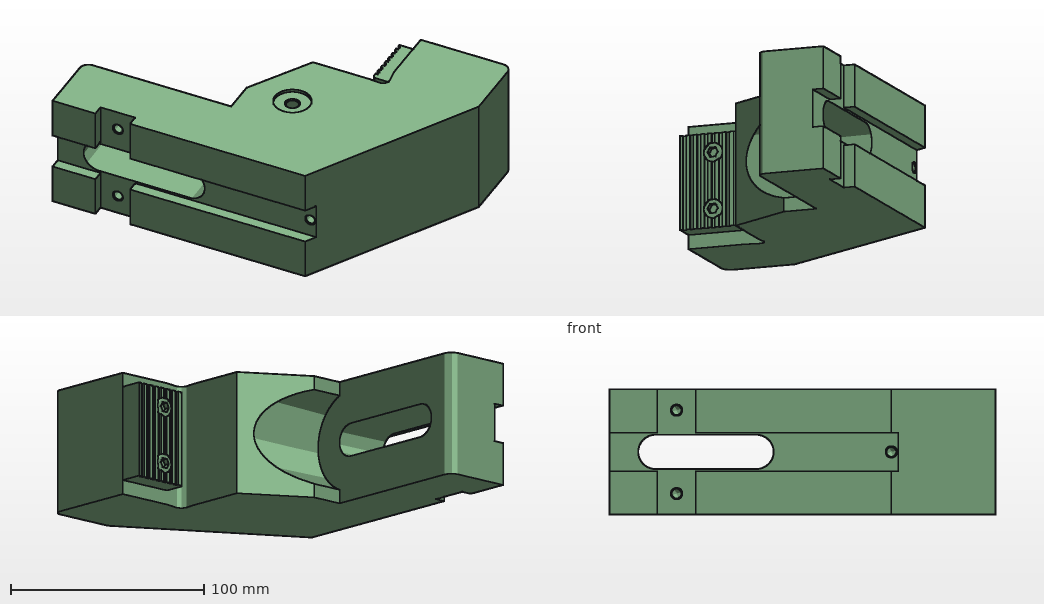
import cadquery as cq
import math

length = 200.0
height = 132.0
thickness = 65.0
mid_z = thickness / 2

base_length = 146.0
back_angle = 60.0
arm_height = 36.8
step_x = 85.0
step_top_y = 54.8
shoulder_y = 89.8
shoulder_x = 106.0
back_corner_y = (length - base_length) * math.tan(math.radians(back_angle))
seat_x = 147.5
arm_corner_radius = 5.0
back_corner_radius = 5.0

relief_x = 148.5
relief_y = 88.8
relief_start_x = 139.0
relief_end_y = 93.5
relief_radius = 3.5

keyway_width = 20.0
keyway_depth = 6.0
cross_keyway_x = 34.8

slot_start = 15.0
slot_end = 85.0
slot_width = 17.5
clearance_radius = 27.5
clearance_x = 73.8

key_thread = 6.0
key_core = 5.0
key_hole_depth = 12.0
key_hole_offset = 21.5
side_thread = 8.0
side_core = 6.8
side_hole_depth = 16.0
side_hole_x = 111.5
side_hole_y = 55.0
spotface_diameter = 20.0
spotface_depth = 1.5
drill_point_angle = 118.0

jaw_front_x = 135.0
jaw_height = 31.2
jaw_width = 50.0
jaw_bottom_y = height - jaw_height
jaw_chamfer = 1.2
groove_count = 7
groove_width = 2.0
groove_pitch = 4.0
groove_depth = 1.2
top_land = 1.5
first_groove_y = height - top_land - groove_width / 2

screw_spacing = 30.0
screw_inset = 18.2
screw_y = height - screw_inset
head_diameter = 10.0
head_height = 6.0
head_fillet = 0.5
shank_diameter = 6.0
screw_length = 20.0
socket_across_flats = 5.0
socket_turn = 30.0
socket_depth = 3.0
screw_heights = [mid_z - screw_spacing / 2, mid_z + screw_spacing / 2]


def box(x0, x1, y0, y1, z0, z1):
    return cq.Workplane("XY").box(x1 - x0, y1 - y0, z1 - z0, centered=False).translate((x0, y0, z0))


def rod(diameter, start, direction, rod_length):
    return cq.Workplane(cq.Solid.makeCylinder(diameter / 2, rod_length, cq.Vector(*start), cq.Vector(*direction)))


def tapped_hole(core, thread, depth, mouth, direction):
    """Cutter for a blind hole with a chamfered mouth and a conical drill point."""
    chamfer = (thread - core) / 2
    point = core / 2 / math.tan(math.radians(drill_point_angle / 2))
    profile = [
        (0, 0), (thread / 2, 0), (core / 2, chamfer), (core / 2, depth), (0, depth + point),
    ]
    plane = cq.Plane(origin=mouth, xDir=(1, 0, 0), normal=direction)
    local = cq.Workplane("XZ").polyline(profile).close().revolve(360, (0, 0, 0), (0, 1, 0))
    return cq.Workplane(local.val().moved(cq.Location(plane)))


def round_corner(solid, x, y, radius):
    """Fillet the upright edge at the given outline corner."""
    corner = cq.selectors.NearestToPointSelector((x, y, mid_z))
    return solid.edges("|Z").edges(corner).fillet(radius)


def bracket_blank():
    blank = (
        cq.Workplane("XY")
        .polyline([
            (0, 0),
            (base_length, 0),
            (length, back_corner_y),
            (length, height),
            (seat_x, height),
            (seat_x, jaw_bottom_y),
            (relief_x, relief_end_y),
            (relief_x, relief_y),
            (relief_start_x, shoulder_y),
            (shoulder_x, shoulder_y),
            (step_x, step_top_y),
            (step_x, arm_height),
            (0, arm_height),
        ])
        .close()
        .extrude(thickness)
    )
    blank = round_corner(blank, 0, arm_height, arm_corner_radius)
    blank = round_corner(blank, length, height, back_corner_radius)
    return round_corner(blank, relief_x, relief_y, relief_radius)


def keyways():
    half = keyway_width / 2
    long_keyway = box(0, length, 0, keyway_depth, mid_z - half, mid_z + half)
    cross_keyway = box(cross_keyway_x - half, cross_keyway_x + half, 0, keyway_depth, 0, thickness)
    return long_keyway.union(cross_keyway)


def clamping_slot():
    return (
        cq.Workplane("XZ", origin=((slot_start + slot_end) / 2, 0, mid_z))
        .slot2D(slot_end - slot_start, slot_width)
        .extrude(-arm_height)
    )


def clamp_clearance():
    return rod(2 * clearance_radius, (clearance_x, arm_height, mid_z), (0, 1, 0), height - arm_height)


def key_holes():
    places = [
        (base_length, mid_z),
        (cross_keyway_x, mid_z - key_hole_offset),
        (cross_keyway_x, mid_z + key_hole_offset),
    ]
    return [
        tapped_hole(key_core, key_thread, key_hole_depth, (x, keyway_depth, z), (0, 1, 0))
        for x, z in places
    ]


def side_hole():
    floor = (side_hole_x, side_hole_y, thickness - spotface_depth)
    spotface = rod(spotface_diameter, floor, (0, 0, 1), spotface_depth)
    return spotface.union(tapped_hole(side_core, side_thread, side_hole_depth, floor, (0, 0, -1)))


def screw_shape(z):
    """Solid envelope of one screw, head and shank, without its socket."""
    head = rod(head_diameter, (jaw_front_x, screw_y, z), (1, 0, 0), head_height)
    head = head.faces("<X").edges().fillet(head_fillet)
    shank = rod(shank_diameter, (jaw_front_x + head_height, screw_y, z), (1, 0, 0), screw_length)
    return head.union(shank)


def screw_hole(z):
    """Cutter for one screw: counterbore open to the jaw front, then the shank hole."""
    counterbore = rod(head_diameter, (jaw_front_x, screw_y, z), (1, 0, 0), head_height)
    shank_hole = rod(shank_diameter, (jaw_front_x, screw_y, z), (1, 0, 0), head_height + screw_length)
    return counterbore.union(shank_hole)


def make_bracket():
    bracket = bracket_blank().cut(keyways()).cut(clamping_slot()).cut(clamp_clearance()).cut(side_hole())
    for hole in key_holes():
        bracket = bracket.cut(hole)
    for z in screw_heights:
        bracket = bracket.cut(screw_hole(z))
    return bracket


def make_jaw():
    bottom_z = mid_z - jaw_width / 2
    top_z = mid_z + jaw_width / 2
    jaw = box(jaw_front_x, seat_x, jaw_bottom_y, height, bottom_z, top_z)
    jaw = jaw.faces("<Y").edges("|Z").chamfer(jaw_chamfer)
    for index in range(groove_count):
        groove_y = first_groove_y - index * groove_pitch
        jaw = jaw.cut(box(
            jaw_front_x, jaw_front_x + groove_depth,
            groove_y - groove_width / 2, groove_y + groove_width / 2,
            bottom_z, top_z,
        ))
    for z in screw_heights:
        jaw = jaw.cut(screw_hole(z))
    return jaw


def make_screw(z):
    socket = (
        cq.Workplane("YZ", origin=(jaw_front_x, screw_y, z))
        .transformed(rotate=(0, 0, socket_turn))
        .polygon(6, socket_across_flats, circumscribed=True)
        .extrude(socket_depth)
    )
    return screw_shape(z).cut(socket)


bracket = make_bracket()
jaw = make_jaw()
screws = [make_screw(z) for z in screw_heights]

result = cq.Compound.makeCompound([bracket.val(), jaw.val(), *[screw.val() for screw in screws]])